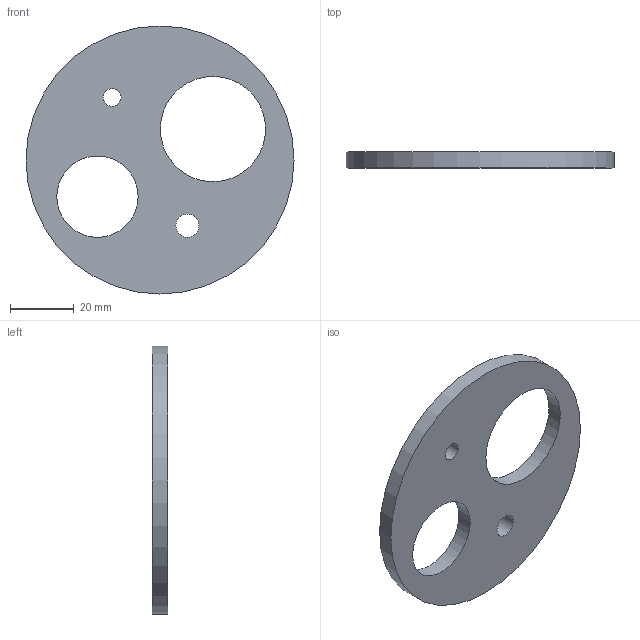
import cadquery as cq

plate_diameter = 84.0
plate_thickness = 5.0

large_port = (33.0, 16.6, 9.7)
medium_port = (25.5, -19.6, -11.5)
upper_small_hole = (5.6, -15.0, 19.6)
lower_small_hole = (7.2, 8.6, -20.6)
through_holes = [large_port, medium_port, upper_small_hole, lower_small_hole]


def disc_along_y(diameter, x, z):
    """Solid disc with its axis along Y, spanning the plate thickness about Y = 0."""
    return (
        cq.Workplane("XZ", origin=(x, plate_thickness / 2, z))
        .circle(diameter / 2)
        .extrude(plate_thickness)
    )


result = disc_along_y(plate_diameter, 0, 0)
for hole_diameter, hole_x, hole_z in through_holes:
    result = result.cut(disc_along_y(hole_diameter, hole_x, hole_z))